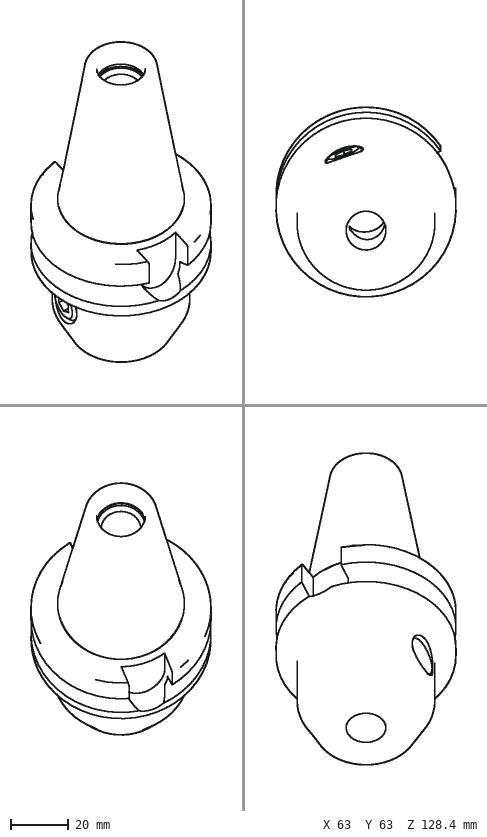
import cadquery as cq
import math

total_height = 128.4
gauge_height = 63.0
flange_top = 61.0
flange_bottom = 36.1

gauge_radius = 22.2
taper_slope = 7 / 48
taper_top_radius = gauge_radius - taper_slope * (total_height - gauge_height)
taper_tip_fillet = 0.8
neck_radius = 21.8
neck_chamfer_height = 0.6
neck_fillet = 0.6

flange_diameter = 63.0
flange_radius = flange_diameter / 2
flange_edge_fillet = 1.0
groove_height = 46.4
groove_half_width = 5.0
groove_floor_radius = 26.7
groove_fillet = 0.5
groove_wall_angle = 28.0
groove_floor_half_width = groove_half_width - (flange_radius - groove_floor_radius) * math.tan(
    math.radians(groove_wall_angle)
)

slot_width = 16.0
slot_bottom = 39.9
slot_floor_radius = 24.0

body_radius = 24.1
body_fillet = 3.1
nose_height = 13.1
nose_angle = 25.0
nose_radius = body_radius - nose_height * math.tan(math.radians(nose_angle))
shoulder_fillet = 1.9
nose_fillet = 1.5

bore_radius = 6.9
counterbore_radius = 8.5
counterbore_depth = 7.2
counterbore_rounding = 1.0
relief_radius = 9.2
relief_height = 1.9

cross_height = 24.3
cross_radius = 6.8
countersink_radius = 8.1
screw_face_distance = 24.0
screw_chamfer = 1.2
screw_length = 15.4
hex_across_flats = 6.0
hex_depth = 3.2


def revolve_profile(points):
    """Revolve a closed (radius, height) outline around Z."""
    return cq.Workplane("XZ").polyline(points).close().revolve(360, (0, 0), (0, 1))


def circle_edge(radius, height):
    """Select the circular edge of one radius at one height around the axis."""
    tolerance = 0.01
    reach = radius + tolerance
    return cq.selectors.BoxSelector(
        (-reach, -reach, height - tolerance), (reach, reach, height + tolerance), boundingbox=True
    )


def make_outside():
    """Turned outside with all its rounded edges."""
    outline = [
        (0, 0),
        (nose_radius, 0),
        (body_radius, nose_height),
        (body_radius, flange_bottom),
        (flange_radius, flange_bottom),
        (flange_radius, groove_height - groove_half_width),
        (groove_floor_radius, groove_height - groove_floor_half_width),
        (groove_floor_radius, groove_height + groove_floor_half_width),
        (flange_radius, groove_height + groove_half_width),
        (flange_radius, flange_top),
        (neck_radius, flange_top),
        (neck_radius, gauge_height - neck_chamfer_height),
        (gauge_radius, gauge_height),
        (taper_top_radius, total_height),
        (0, total_height),
    ]
    outside = revolve_profile(outline)
    rounded_edges = [
        (nose_radius, 0, nose_fillet),
        (body_radius, nose_height, shoulder_fillet),
        (body_radius, flange_bottom, body_fillet),
        (flange_radius, flange_bottom, flange_edge_fillet),
        (groove_floor_radius, groove_height - groove_floor_half_width, groove_fillet),
        (groove_floor_radius, groove_height + groove_floor_half_width, groove_fillet),
        (neck_radius, flange_top, neck_fillet),
        (flange_radius, flange_top, flange_edge_fillet),
        (taper_top_radius, total_height, taper_tip_fillet),
    ]
    for radius, height, fillet in rounded_edges:
        outside = outside.edges(circle_edge(radius, height)).fillet(fillet)
    return outside


def make_drive_slots():
    """Round-bottomed slots that leave a cylindrical floor around the axis."""
    slot_radius = slot_width / 2
    arc_height = slot_bottom + slot_radius
    slots = (
        cq.Workplane("YZ")
        .moveTo(-slot_radius, total_height)
        .lineTo(-slot_radius, arc_height)
        .threePointArc((0, slot_bottom), (slot_radius, arc_height))
        .lineTo(slot_radius, total_height)
        .close()
        .extrude(2 * flange_radius, both=True)
    )
    return slots.cut(cq.Workplane("XY").circle(slot_floor_radius).extrude(total_height))


def make_bore():
    """Stepped bore: counterbore with rounded mouth, relief groove, 45-degree cone, through hole."""
    counterbore_floor = total_height - counterbore_depth
    cone_top = counterbore_floor - relief_height
    cone_bottom = cone_top - (counterbore_radius - bore_radius)
    mouth_start = total_height - counterbore_rounding
    mouth_inset = counterbore_rounding * (1 - math.sqrt(0.5))
    mouth_middle = (counterbore_radius + mouth_inset, total_height - mouth_inset)
    return (
        cq.Workplane("XZ")
        .lineTo(bore_radius, 0)
        .lineTo(bore_radius, cone_bottom)
        .lineTo(counterbore_radius, cone_top)
        .lineTo(relief_radius, cone_top)
        .lineTo(relief_radius, counterbore_floor)
        .lineTo(counterbore_radius, counterbore_floor)
        .lineTo(counterbore_radius, mouth_start)
        .threePointArc(mouth_middle, (counterbore_radius + counterbore_rounding, total_height))
        .lineTo(0, total_height)
        .close()
        .revolve(360, (0, 0), (0, 1))
    )


def make_cross_hole():
    """Hole through the body along Y, opening at 45 degrees towards both sides."""
    cone_depth = countersink_radius - cross_radius
    cone_start = body_radius - cone_depth
    cone_end = body_radius + cone_depth
    outline = [
        (0, 0),
        (cross_radius, 0),
        (cross_radius, cone_start),
        (countersink_radius + cone_depth, cone_end),
        (0, cone_end),
    ]
    half = revolve_profile(outline)
    hole = half.rotate((0, 0, 0), (1, 0, 0), 90).union(half.rotate((0, 0, 0), (1, 0, 0), -90))
    return hole.translate((0, 0, cross_height))


def make_screw():
    """Clamping screw with a chamfered face and a hexagon socket."""
    screw = cq.Workplane("XY").circle(cross_radius).extrude(screw_length)
    screw = screw.faces(">Z").chamfer(screw_chamfer)
    hex_diameter = hex_across_flats / math.cos(math.pi / 6)
    socket = (
        cq.Workplane("XY", origin=(0, 0, screw_length - hex_depth))
        .transformed(rotate=(0, 0, 90))
        .polygon(6, hex_diameter)
        .extrude(hex_depth)
    )
    screw = screw.cut(socket).rotate((0, 0, 0), (1, 0, 0), 90)
    return screw.translate((0, screw_length - screw_face_distance, cross_height))


result = (
    make_outside()
    .cut(make_drive_slots())
    .cut(make_bore())
    .cut(make_cross_hole())
    .union(make_screw())
)